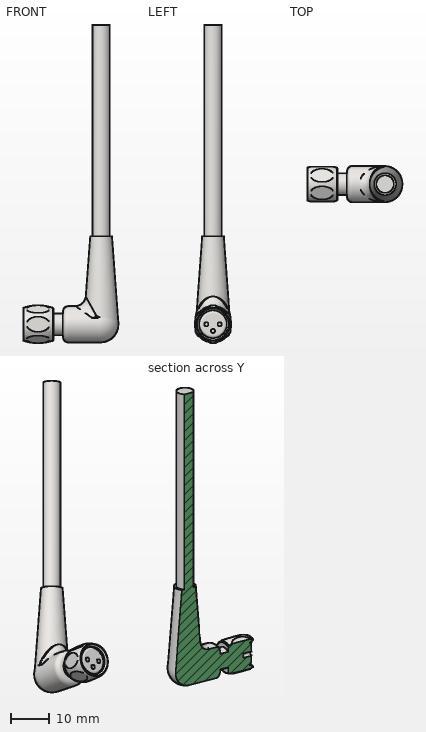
import cadquery as cq
import math

total_height = 82.95
body_radius = 4.77

nut_length = 7.9
nut_end_radius = 4.3
nut_middle_radius = 5.0
axis_height = nut_middle_radius
nut_back_chamfer = 0.25
nut_flat_distance = 4.6
bore_radius = 7.2 / 2
bore_mouth_radius = 4.15
mouth_depth = 0.5

insert_face_radius = 5.7 / 2
pin_hole_diameter = 1.1
pin_hole_offset = 1.75
pin_hole_depth = 2.5

neck_radius = 5.7 / 2
body_start = 10.3
body_front_round = 1.5
total_length = 24.8
ball_x = total_length - body_radius

sleeve_x = 20.2
sleeve_top = 27.95
sleeve_base_radius = 4.6
sleeve_top_radius = 5.7 / 2
cable_diameter = 4.6

corner_setback = 2.5
blend_half_steps = 4
blend_end_angle = 70


def rod(start, length, radius):
    """Cylinder along the connector axis."""
    return (
        cq.Workplane("YZ", origin=(start, 0, axis_height))
        .circle(radius)
        .extrude(length)
    )


def make_nut():
    """Barrel with six flats and a tapered mouth around the rounded insert face."""
    barrel_length = nut_length - nut_back_chamfer
    insert_round = bore_radius - insert_face_radius
    profile = (
        cq.Workplane("XY")
        .moveTo(mouth_depth, 0)
        .lineTo(mouth_depth, insert_face_radius)
        .radiusArc((mouth_depth + insert_round, bore_radius), insert_round)
        .lineTo(mouth_depth, bore_radius)
        .lineTo(0, bore_mouth_radius)
        .lineTo(0, nut_end_radius)
        .threePointArc((barrel_length / 2, nut_middle_radius), (barrel_length, nut_end_radius))
        .lineTo(nut_length, nut_end_radius - nut_back_chamfer)
        .lineTo(nut_length, 0)
        .close()
    )
    barrel = profile.revolve(360, (0, 0, 0), (1, 0, 0)).translate((0, 0, axis_height))
    hexagon = (
        cq.Workplane("YZ", origin=(0, 0, axis_height))
        .polygon(6, 2 * nut_flat_distance, circumscribed=True)
        .extrude(nut_length)
    )
    return barrel.intersect(hexagon)


def make_body():
    """Horizontal barrel and tapered sleeve meeting in a ball-shaped elbow."""
    barrel = rod(body_start, ball_x - body_start, body_radius)
    barrel = barrel.faces("<X").edges().fillet(body_front_round)
    sleeve = (
        cq.Workplane("XY", origin=(sleeve_x, 0, axis_height))
        .circle(sleeve_base_radius)
        .workplane(offset=sleeve_top - axis_height)
        .circle(sleeve_top_radius)
        .loft()
    )
    ball = cq.Workplane("XY", origin=(ball_x, 0, axis_height)).sphere(body_radius)
    return barrel.union(sleeve).union(ball)


def make_corner_blend():
    """Concave blend between barrel and sleeve that shrinks towards both sides of the elbow."""
    sleeve_rise = sleeve_top - axis_height
    taper = (sleeve_base_radius - sleeve_top_radius) / sleeve_rise
    lean = math.atan(taper)

    corner_x = -sleeve_base_radius + body_radius * taper
    barrel_end = (corner_x - corner_setback, body_radius)
    sleeve_end = (
        corner_x + corner_setback * math.sin(lean),
        body_radius + corner_setback * math.cos(lean),
    )
    arc_radius = corner_setback * math.tan((math.pi / 2 + lean) / 2)

    wires = []
    for step in range(-blend_half_steps, blend_half_steps + 1):
        angle = math.radians(blend_end_angle * step / blend_half_steps)
        scale = math.cos(angle)
        section = (
            cq.Workplane("XZ", origin=(sleeve_x, body_radius * math.sin(angle), axis_height))
            .lineTo(scale * barrel_end[0], scale * barrel_end[1])
            .radiusArc((scale * sleeve_end[0], scale * sleeve_end[1]), -scale * arc_radius)
            .close()
        )
        wires.append(section.val())
    return cq.Workplane(cq.Solid.makeLoft(wires))


pin_holes = (
    cq.Workplane("YZ", origin=(mouth_depth, 0, axis_height))
    .pushPoints([(-pin_hole_offset, 0), (pin_hole_offset, 0), (0, -pin_hole_offset)])
    .circle(pin_hole_diameter / 2)
    .extrude(pin_hole_depth)
)
neck = rod(nut_length, body_start - nut_length, neck_radius)
cable = (
    cq.Workplane("XY", origin=(sleeve_x, 0, sleeve_top))
    .circle(cable_diameter / 2)
    .extrude(total_height - sleeve_top)
)

body = make_body().union(make_corner_blend())
result = make_nut().cut(pin_holes).union(neck).union(body).union(cable)